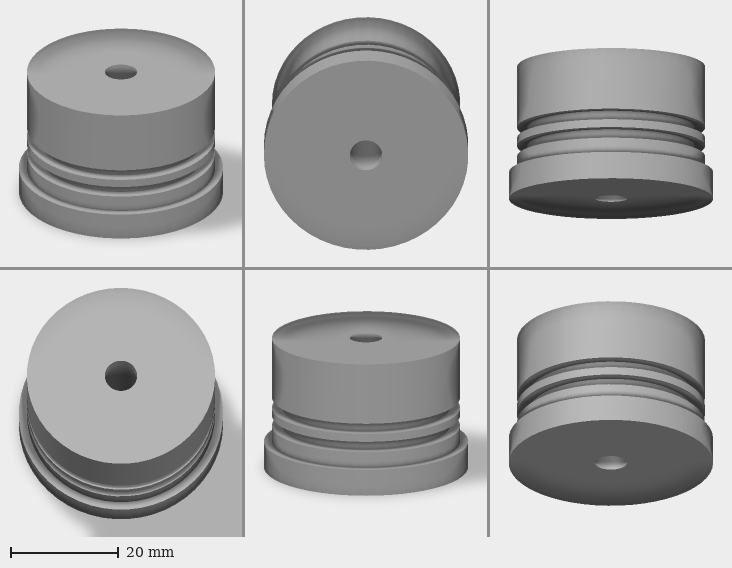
import cadquery as cq

body_diameter = 35.0
total_height = 25.0

flange_diameter = 38.0
flange_height = 5.0

groove_floor_diameter = 31.2
groove_width = 2.0
land_below_grooves = 3.0
land_between_grooves = 1.5
groove_count = 2
first_groove_bottom = flange_height + land_below_grooves
groove_pitch = groove_width + land_between_grooves

bore_diameter = 6.0


def disc(diameter, height, bottom=0.0):
    """Solid cylinder on the Z axis, standing on the given height."""
    return cq.Workplane("XY").workplane(offset=bottom).circle(diameter / 2).extrude(height)


def groove_cutter(bottom):
    """Ring that removes one groove, reaching out to the body surface."""
    return disc(body_diameter, groove_width, bottom).cut(
        disc(groove_floor_diameter, groove_width, bottom)
    )


result = disc(body_diameter, total_height).union(disc(flange_diameter, flange_height))

for index in range(groove_count):
    result = result.cut(groove_cutter(first_groove_bottom + index * groove_pitch))

result = result.cut(disc(bore_diameter, total_height))